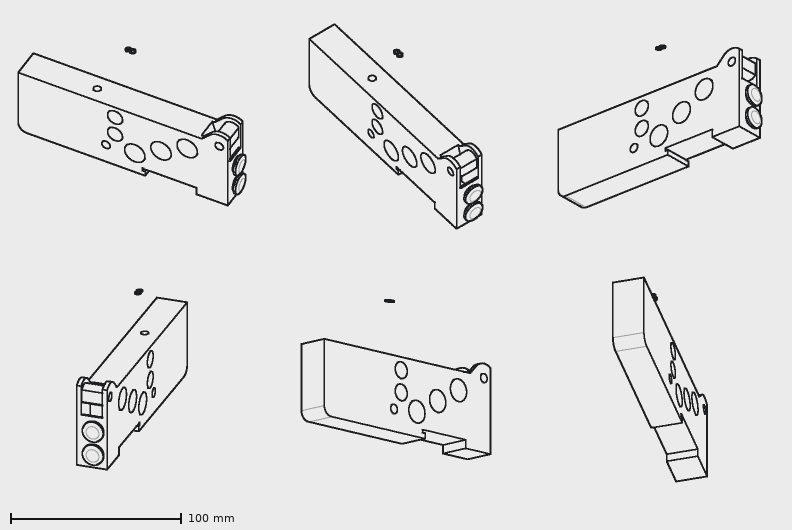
import cadquery as cq
import math

block_length = 139.3
block_width = 19.0
block_height = 46.0
corner_radius = 5.9
mid_width = block_width / 2
through_cut = 2 * block_width

ear_thickness = 2.9
ear_radius = 8.8
ear_slope_angle = 45
pivot_x = 133.5
pivot_z = 45.0
pivot_hole_diameter = 5.4
slot_width = block_width - 2 * ear_thickness
slot_start_x = 120.5
well_start_x = 124.0
slope_depth = 12.8
well_depth = 28.5
bar_diameter = 11.8
bar_width_across_flats = 9.0

rail_start_x = 82.3
rail_lip_x = 84.3
rail_end_x = 118.5
rail_depth = 5.1
rail_lip_height = 3.4

large_hole_diameter = 13.5
large_hole_centres = [(77.5, 15.1), (94.9, 24.5), (112.3, 34.0)]
medium_hole_diameter = 10.0
medium_hole_centres = [(64.4, 24.5), (64.4, 38.0)]
small_hole_diameter = 5.5
small_hole_centres = [(58.4, 13.5)]

top_hole_diameter = 4.5
top_hole_x = 47.5
top_hole_depth = 7.1

button_y = 11.0
button_heights = [9.4, 24.4]
neck_diameter = 10.4
neck_length = 1.3
head_diameter = 13.0
head_rim_length = 1.4
tip_diameter = 8.0
cone_length = 0.7

plate_top = 82.6
plate_thickness = 0.4
plate_y = 13.0
plate_rings = [(66.4, 3.5, 2.1), (69.2, 3.7, 2.4)]


def cross_cylinders(centres, diameter):
    """Cylinders along Y through the whole width, at (x, z) centres."""
    start = cq.Workplane("XZ", origin=(0, through_cut / 2 + mid_width, 0))
    return start.pushPoints(centres).circle(diameter / 2).extrude(through_cut)


def block_outline():
    """Side outline of the block and its ears, extruded over the full width."""
    slope = math.radians(ear_slope_angle)
    tangent_x = pivot_x - ear_radius * math.sin(slope)
    tangent_z = pivot_z + ear_radius * math.cos(slope)
    ear_end_z = pivot_z + math.sqrt(ear_radius**2 - (block_length - pivot_x) ** 2)
    ear_base_x = tangent_x - (tangent_z - block_height) / math.tan(slope)
    return (
        cq.Workplane("XZ")
        .moveTo(corner_radius, 0)
        .lineTo(block_length, 0)
        .lineTo(block_length, ear_end_z)
        .threePointArc((pivot_x, pivot_z + ear_radius), (tangent_x, tangent_z))
        .lineTo(ear_base_x, block_height)
        .lineTo(0, block_height)
        .lineTo(0, corner_radius)
        .radiusArc((corner_radius, 0), -corner_radius)
        .close()
        .extrude(-block_width)
    )


def ear_slot():
    """Slot between the ears, with a sloping back wall, a deep well and a low end wall at +X."""
    end_wall_z = block_height - slope_depth
    well_floor_z = block_height - well_depth
    well_end_x = pivot_x + bar_width_across_flats / 2
    slot_top = pivot_z + 2 * ear_radius
    return (
        cq.Workplane("XZ", origin=(0, ear_thickness, 0))
        .moveTo(slot_start_x, slot_top)
        .lineTo(slot_start_x, block_height)
        .lineTo(well_start_x, end_wall_z)
        .lineTo(well_start_x, well_floor_z)
        .lineTo(well_end_x, well_floor_z)
        .lineTo(well_end_x, end_wall_z)
        .lineTo(block_length, end_wall_z)
        .lineTo(block_length, slot_top)
        .close()
        .extrude(-slot_width)
    )


def cross_bar():
    """Round bar joining the ears, flattened on its -X and +X sides."""
    round_bar = (
        cq.Workplane("XZ", origin=(pivot_x, ear_thickness, pivot_z))
        .circle(bar_diameter / 2)
        .extrude(-slot_width)
    )
    flats = cq.Workplane("XY").box(bar_width_across_flats, block_width, bar_diameter)
    return round_bar.intersect(flats.translate((pivot_x, mid_width, pivot_z)))


def rail_groove():
    """Groove across the underside with a hooked lip on its -X side."""
    return (
        cq.Workplane("XZ")
        .moveTo(rail_lip_x, 0)
        .lineTo(rail_lip_x, rail_lip_height)
        .lineTo(rail_start_x, rail_lip_height)
        .lineTo(rail_start_x, rail_depth)
        .lineTo(rail_end_x, rail_depth)
        .lineTo(rail_end_x, 0)
        .close()
        .extrude(-block_width)
    )


def top_hole():
    floor = cq.Workplane("XY", origin=(top_hole_x, mid_width, block_height - top_hole_depth))
    return floor.circle(top_hole_diameter / 2).extrude(top_hole_depth)


def button(height):
    """One push button standing on the +X face at the given height."""
    head_x = block_length + neck_length
    cone_x = head_x + head_rim_length
    tip_x = cone_x + cone_length
    return (
        cq.Workplane("XY", origin=(0, button_y, height))
        .moveTo(block_length, 0)
        .lineTo(block_length, neck_diameter / 2)
        .lineTo(head_x, neck_diameter / 2)
        .lineTo(head_x, head_diameter / 2)
        .lineTo(cone_x, head_diameter / 2)
        .lineTo(tip_x, tip_diameter / 2)
        .lineTo(tip_x, 0)
        .close()
        .revolve(360, (0, 0, 0), (1, 0, 0))
    )


def make_housing():
    housing = block_outline().cut(ear_slot()).union(cross_bar()).cut(rail_groove())
    housing = housing.cut(cross_cylinders(large_hole_centres, large_hole_diameter))
    housing = housing.cut(cross_cylinders(medium_hole_centres, medium_hole_diameter))
    housing = housing.cut(cross_cylinders(small_hole_centres, small_hole_diameter))
    housing = housing.cut(cross_cylinders([(pivot_x, pivot_z)], pivot_hole_diameter))
    housing = housing.cut(top_hole())
    for height in button_heights:
        housing = housing.union(button(height))
    return housing


def make_figure_eight_plate():
    """Two overlapping flat rings joined into one plate, with both openings clear."""
    base = cq.Workplane("XY", origin=(0, plate_y, plate_top - plate_thickness))
    plate = cq.Workplane("XY")
    for ring_x, outer_diameter, _ in plate_rings:
        plate = plate.union(base.center(ring_x, 0).circle(outer_diameter / 2).extrude(plate_thickness))
    for ring_x, _, inner_diameter in plate_rings:
        plate = plate.cut(base.center(ring_x, 0).circle(inner_diameter / 2).extrude(plate_thickness))
    return plate


housing = make_housing()
figure_eight_plate = make_figure_eight_plate()

result = cq.Compound.makeCompound([housing.val(), figure_eight_plate.val()])